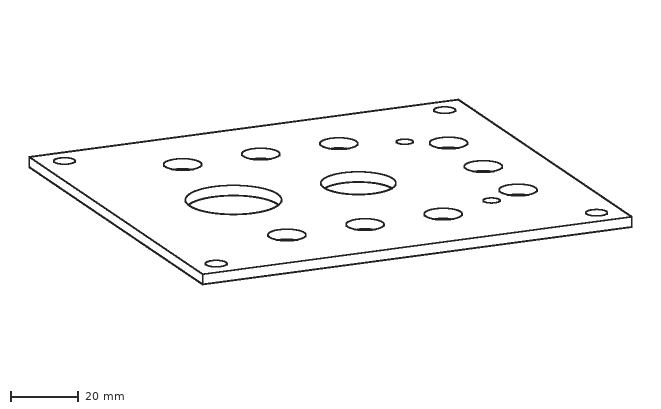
import cadquery as cq

width = 127.0
length = 139.7
thickness = 3.2

corner_diameter = 6.4
corner_inset = 8.0

control_diameter = 11.3
control_pitch = 25.4
top_row_y = 49.7
side_column_x = 1.5 * control_pitch
side_column_middle_y = -5.7

small_diameter = 5.0
small_x = 1.25 * control_pitch
small_y = 38.3

upper_opening_diameter = 22.4
upper_opening_y = 9.1
lower_opening_diameter = 28.6
lower_opening_y = -31.6


def drill(plate, points, diameter):
    """Cut a through hole at each point, measured from the plate centre."""
    return plate.faces(">Z").workplane(origin=(0, 0, 0)).pushPoints(points).hole(diameter)


corner_x = width / 2 - corner_inset
corner_y = length / 2 - corner_inset
corner_points = [(sx * corner_x, sy * corner_y) for sx in (-1, 1) for sy in (-1, 1)]

top_row_points = [(step * control_pitch, top_row_y) for step in (-1, 0, 1)]
side_column_points = [
    (side * side_column_x, side_column_middle_y + step * control_pitch)
    for side in (-1, 1)
    for step in (-1, 0, 1)
]
small_points = [(-small_x, small_y), (small_x, small_y)]

result = cq.Workplane("XY").box(width, length, thickness)
result = drill(result, corner_points, corner_diameter)
result = drill(result, top_row_points + side_column_points, control_diameter)
result = drill(result, small_points, small_diameter)
result = drill(result, [(0, upper_opening_y)], upper_opening_diameter)
result = drill(result, [(0, lower_opening_y)], lower_opening_diameter)